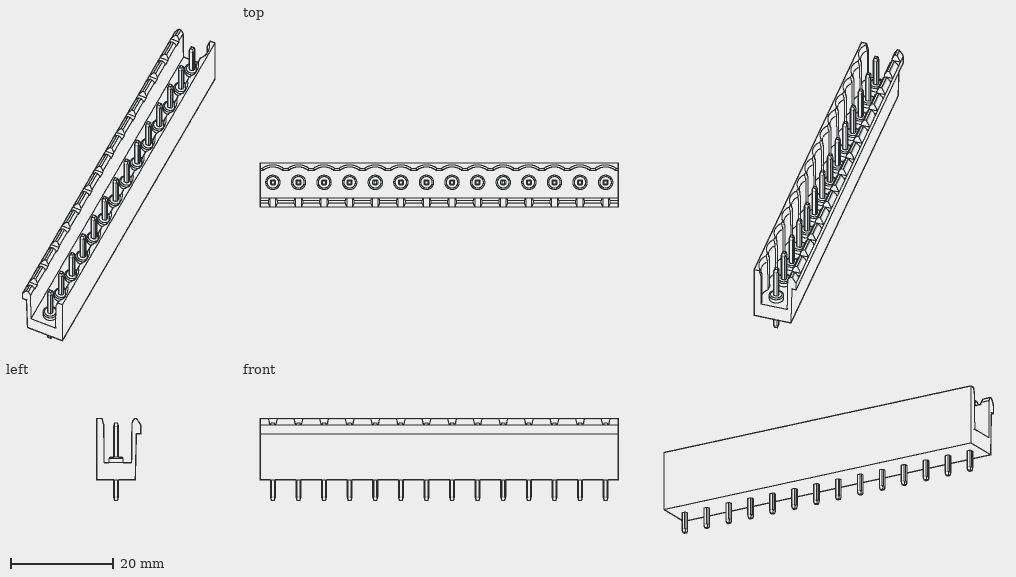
import cadquery as cq
import math

length = 70.0
pin_count = 14
pitch = length / pin_count
pin_xs = [(i - (pin_count - 1) / 2) * pitch for i in range(pin_count)]

height = 12.0
floor_z = 3.35
hook_bottom_z = height - 3.0
hook_shoulder_z = height - 1.25
back_bevel_z = height - 1.25
front_bevel_z = height - 0.85

overall_depth = 8.6
back_y = 3.8
back_inner_bottom_y = 2.3
back_inner_y = 2.4
back_top_y = 2.7
front_inner_bottom_y = -3.0
front_inner_y = -3.1
front_inner_top_y = -3.6
hook_top_y = -4.0
hook_crest_bevel = 0.15
hook_y = back_y - overall_depth
front_outer_y = -4.0
front_bottom_y = -3.8

scallop_radius = 3.0
scallop_top_radius = 3.4

notch_bottom_width = 1.1
notch_top_width = 1.75

pin_width = 1.0
pin_edge_bevel = 0.2
pin_bottom_z = -4.05
pin_top_z = height - 0.85
tip_length = 0.7
tip_inset = 0.2
tip_taper = math.degrees(math.atan2(tip_inset, tip_length))
collar_radius = 1.4
collar_height = 1.05
collar_bevel_width = 0.3
collar_bevel_height = 0.2


def make_housing():
    """U-shaped section with a hooked front wall that has a beveled crest, extruded along X."""
    section = [
        (back_y, 0),
        (back_y, height),
        (back_top_y, height),
        (back_inner_y, back_bevel_z),
        (back_inner_bottom_y, floor_z),
        (front_inner_bottom_y, floor_z),
        (front_inner_y, front_bevel_z),
        (front_inner_top_y, height),
        (hook_top_y, height),
        (hook_top_y - hook_crest_bevel, height - hook_crest_bevel),
        (hook_y, hook_shoulder_z),
        (hook_y, hook_bottom_z),
        (front_outer_y, hook_bottom_z),
        (front_bottom_y, 0),
    ]
    return cq.Workplane("YZ").polyline(section).close().extrude(length / 2, both=True)


def make_scallop_cutter():
    """Half cylinder on the back side of a pin, flaring out at the top bevel."""
    half_section = [
        (0, floor_z),
        (scallop_radius, floor_z),
        (scallop_radius, back_bevel_z),
        (scallop_top_radius, height),
        (0, height),
    ]
    return cq.Workplane("XZ").polyline(half_section).close().revolve(180, (0, 0), (0, 1))


def make_notch_cutter():
    """Trapezoidal slot through the front wall, wider at the top."""
    outline = [
        (-notch_bottom_width / 2, hook_shoulder_z),
        (notch_bottom_width / 2, hook_shoulder_z),
        (notch_top_width / 2, height),
        (-notch_top_width / 2, height),
    ]
    return cq.Workplane("XZ").polyline(outline).close().extrude(-hook_y)


def make_pin():
    """Pin with tapered ends, standing through its collar."""
    bar = (
        cq.Workplane("XY")
        .workplane(offset=pin_bottom_z + tip_length)
        .rect(pin_width, pin_width)
        .extrude(pin_top_z - pin_bottom_z - 2 * tip_length)
    )
    for end in (">Z", "<Z"):
        bar = bar.faces(end).wires().toPending().workplane().extrude(tip_length, taper=tip_taper)
    beveled_envelope = (
        cq.Workplane("XY")
        .workplane(offset=pin_bottom_z)
        .rect(pin_width, pin_width)
        .extrude(pin_top_z - pin_bottom_z)
        .edges("|Z")
        .chamfer(pin_edge_bevel)
    )
    bar = bar.intersect(beveled_envelope)
    collar_top_z = floor_z + collar_height
    collar_half_section = [
        (0, floor_z),
        (collar_radius, floor_z),
        (collar_radius, collar_top_z - collar_bevel_height),
        (collar_radius - collar_bevel_width, collar_top_z),
        (0, collar_top_z),
    ]
    collar = cq.Workplane("XZ").polyline(collar_half_section).close().revolve(360, (0, 0), (0, 1))
    return bar.union(collar)


scallop = make_scallop_cutter()
notch = make_notch_cutter()
pin = make_pin()

result = make_housing()
for x in pin_xs:
    result = result.cut(scallop.translate((x, 0, 0)))
    result = result.cut(notch.translate((x, 0, 0)))
for x in pin_xs:
    result = result.union(pin.translate((x, 0, 0)))